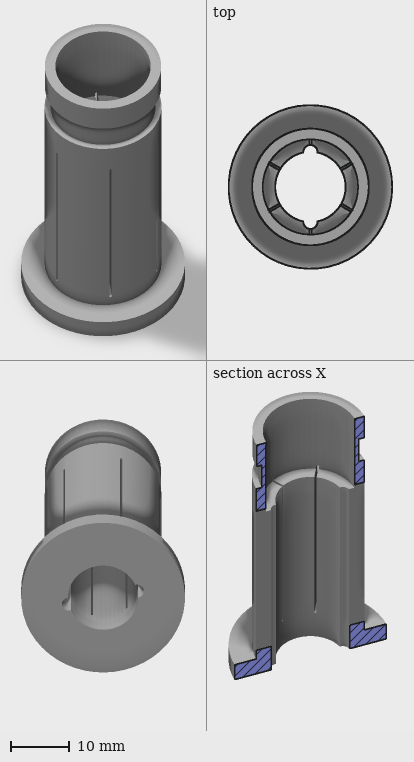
import cadquery as cq

total_height = 52.5
flange_height = 3.5
collar_height = 5.0
groove_width = 5.0
slit_bottom = 5.5
slit_top = 37.3
counterbore_depth = 16.0

flange_diameter = 28.0
sleeve_diameter = 20.0
collar_diameter = 19.9
groove_diameter = 18.0
bore_diameter = 12.0
counterbore_diameter = 16.3

channel_diameter = 2.4
channel_offset = 5.96

slit_width = 0.4
slit_count = 6
slit_start_angle = 30.0
slit_reach = sleeve_diameter / 2 + slit_width

slit_spacing = 360.0 / slit_count
groove_top = total_height - collar_height
groove_bottom = groove_top - groove_width
ledge_height = total_height - counterbore_depth


def cylinder(diameter, bottom, top):
    """Upright cylinder on the Z axis between two heights."""
    return cq.Workplane("XY").workplane(offset=bottom).circle(diameter / 2).extrude(top - bottom)


def sleeve_body():
    """Flanged cylinder with a groove below the top collar."""
    flange = cylinder(flange_diameter, 0, flange_height)
    lower_sleeve = cylinder(sleeve_diameter, 0, groove_bottom)
    neck = cylinder(groove_diameter, 0, total_height)
    collar = cylinder(collar_diameter, groove_top, total_height)
    return flange.union(lower_sleeve).union(neck).union(collar)


def stepped_bore():
    """Through bore with its two channels, and the wider bore above the ledge."""
    bore = cylinder(bore_diameter, 0, total_height)
    counterbore = cylinder(counterbore_diameter, ledge_height, total_height)
    channels = (
        cq.Workplane("XY")
        .pushPoints([(0, channel_offset), (0, -channel_offset)])
        .circle(channel_diameter / 2)
        .extrude(total_height)
    )
    return bore.union(counterbore).union(channels)


def slit(angle):
    """Radial cutter from the axis out past the sleeve wall, at an angle from +X."""
    return (
        cq.Workplane("XY")
        .workplane(offset=slit_bottom)
        .rect(slit_reach, slit_width)
        .extrude(slit_top - slit_bottom)
        .translate((slit_reach / 2, 0, 0))
        .rotate((0, 0, 0), (0, 0, 1), angle)
    )


result = sleeve_body().cut(stepped_bore())
for index in range(slit_count):
    result = result.cut(slit(slit_start_angle + index * slit_spacing))